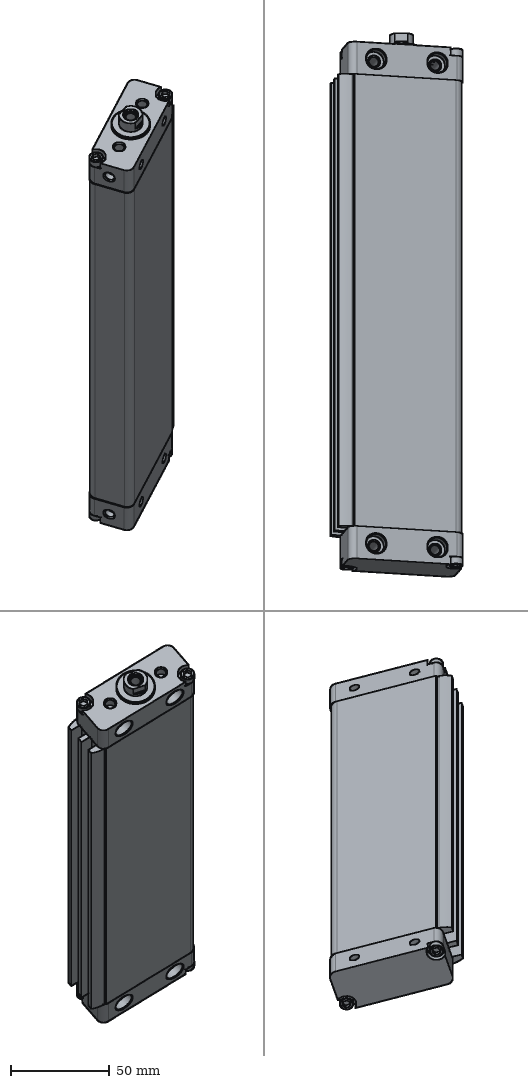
import cadquery as cq

TOTAL_LENGTH = 280.0
WIDTH = 24.0
CAP_DEPTH = 60.0
CAP_HEIGHT = 17.0
CORNER_RADIUS = 4.0
CAP_TOP = 272.2
BARREL_LENGTH = CAP_TOP - 2 * CAP_HEIGHT

BARREL_FRONT = -29.5
BARREL_BACK = 28.5
BARREL_SHOULDER = 27.7
SHOULDER_CHAMFER = 0.5
RAIL_TIP = 35.0
MIDDLE_RAIL_WIDTH = 2.8
RAIL_INNER_X = 7.3
RAIL_TIP_X = 9.8
RAIL_FOOT_X = 11.5
RAIL_BULGE_X = 11.0
RAIL_BULGE_Y = 32.0

HOLE_SPACING = 32.0
THREAD_CORE = 5.0
THREAD_MOUTH = 6.5
END_HOLE_DEPTH = 5.5
PORT_THREAD_DEPTH = 4.2
PORT_BORE = 2.2
PORT_BORE_DEPTH = 8.5
MOUNT_COUNTERBORE = 10.0
MOUNT_COUNTERBORE_DEPTH = 5.0
MOUNT_MOUTH = 11.0

SCREW_HEAD = 7.0
SCREW_INSET = SCREW_HEAD / 2
SCREW_X = WIDTH / 2 - SCREW_INSET
SCREW_Y = CAP_DEPTH / 2 - SCREW_INSET
SCREW_POCKET = 10.0
SCREW_POCKET_DEPTH = 4.2
SCREW_HEAD_HEIGHT = 4.0
SCREW_HEAD_CHAMFER = 0.3
SCREW_SOCKET = 4.0
SCREW_SOCKET_DEPTH = 2.2

COLLAR_DIAMETER = 20.0
COLLAR_HEIGHT = 1.5
COLLAR_CHAMFER = 0.42
ROD_DIAMETER = 12.0
ROD_START = CAP_TOP - CAP_HEIGHT
ROD_FLAT_WIDTH = 10.0
ROD_FLAT_LENGTH = 4.5
ROD_FLAT_ANGLE = -14.0
ROD_HOLE_MOUTH = 7.8
ROD_COUNTERBORE = 6.5
ROD_COUNTERBORE_DEPTH = 1.7
ROD_HOLE_DEPTH = 11.2
DRILL_TIP_DEPTH = 1.5


def cylinder(diameter, height, x, y, z):
    """Upright cylinder whose lower face is centred on (x, y, z)."""
    return cq.Workplane("XY", origin=(x, y, z)).circle(diameter / 2).extrude(height)


def countersunk_hole(core, mouth, depth, start, inward):
    """Tool for a hole with a 45 degree mouth, from the point start along the direction inward."""
    point = cq.Vector(*start)
    direction = cq.Vector(*inward)
    bore = cq.Solid.makeCylinder(core / 2, depth, point, direction)
    cone = cq.Solid.makeCone(mouth / 2, core / 2, (mouth - core) / 2, point, direction)
    return bore.fuse(cone)


def make_barrel():
    body = (
        cq.Workplane("XY", origin=(0, 0, CAP_HEIGHT))
        .moveTo(-WIDTH / 2, BARREL_FRONT)
        .lineTo(WIDTH / 2, BARREL_FRONT)
        .lineTo(WIDTH / 2, BARREL_SHOULDER - SHOULDER_CHAMFER)
        .lineTo(RAIL_FOOT_X, BARREL_SHOULDER)
        .lineTo(RAIL_FOOT_X, BARREL_BACK)
        .lineTo(-RAIL_FOOT_X, BARREL_BACK)
        .lineTo(-RAIL_FOOT_X, BARREL_SHOULDER)
        .lineTo(-WIDTH / 2, BARREL_SHOULDER - SHOULDER_CHAMFER)
        .close()
        .extrude(BARREL_LENGTH)
        .edges("|Z and <Y")
        .fillet(CORNER_RADIUS)
    )
    middle_rail = (
        cq.Workplane("XY", origin=(0, (BARREL_BACK + RAIL_TIP) / 2, CAP_HEIGHT))
        .rect(MIDDLE_RAIL_WIDTH, RAIL_TIP - BARREL_BACK)
        .extrude(BARREL_LENGTH)
    )
    body = body.union(middle_rail)
    for side in (-1, 1):
        outer_rail = (
            cq.Workplane("XY", origin=(0, 0, CAP_HEIGHT))
            .moveTo(side * RAIL_FOOT_X, BARREL_BACK)
            .threePointArc((side * RAIL_BULGE_X, RAIL_BULGE_Y), (side * RAIL_TIP_X, RAIL_TIP))
            .lineTo(side * RAIL_INNER_X, RAIL_TIP)
            .lineTo(side * RAIL_INNER_X, BARREL_BACK)
            .close()
            .extrude(BARREL_LENGTH)
        )
        body = body.union(outer_rail)
    return body


def cut_mounting_holes(cap):
    """Two stepped holes through the width of a cap, counterbored on the -X side."""
    for y in (-HOLE_SPACING / 2, HOLE_SPACING / 2):
        face = (-WIDTH / 2, y, CAP_HEIGHT / 2)
        floor = (MOUNT_COUNTERBORE_DEPTH - WIDTH / 2, y, CAP_HEIGHT / 2)
        cap = cap.cut(cq.Workplane(countersunk_hole(
            MOUNT_COUNTERBORE, MOUNT_MOUTH, MOUNT_COUNTERBORE_DEPTH, face, (1, 0, 0))))
        cap = cap.cut(cq.Workplane(countersunk_hole(THREAD_CORE, THREAD_MOUTH, WIDTH, floor, (1, 0, 0))))
    return cap


def cut_port(cap):
    """Threaded air port in the -Y side of a cap, with a narrower bore behind it."""
    start = (0, -CAP_DEPTH / 2, CAP_HEIGHT / 2)
    thread = countersunk_hole(THREAD_CORE, THREAD_MOUTH, PORT_THREAD_DEPTH, start, (0, 1, 0))
    bore = cq.Solid.makeCylinder(PORT_BORE / 2, PORT_BORE_DEPTH, cq.Vector(*start), cq.Vector(0, 1, 0))
    return cap.cut(cq.Workplane(thread)).cut(cq.Workplane(bore))


def add_screws(cap):
    """Socket screw heads in open corner pockets, at two opposite corners."""
    pocket_floor = CAP_HEIGHT - SCREW_POCKET_DEPTH
    socket_floor = pocket_floor + SCREW_HEAD_HEIGHT - SCREW_SOCKET_DEPTH
    for side in (-1, 1):
        x = side * SCREW_X
        y = side * SCREW_Y
        pocket = cylinder(SCREW_POCKET, SCREW_POCKET_DEPTH, x, y, pocket_floor)
        head = cylinder(SCREW_HEAD, SCREW_HEAD_HEIGHT, x, y, pocket_floor)
        head = head.faces(">Z").edges().chamfer(SCREW_HEAD_CHAMFER)
        socket = (
            cq.Workplane("XY", origin=(x, y, socket_floor))
            .polygon(6, SCREW_SOCKET, circumscribed=True)
            .extrude(SCREW_SOCKET_DEPTH)
        )
        cap = cap.cut(pocket).union(head).cut(socket)
    return cap


def make_cap():
    """Cap with its outer face up, from z = 0 to CAP_HEIGHT."""
    cap = (
        cq.Workplane("XY")
        .rect(WIDTH, CAP_DEPTH)
        .extrude(CAP_HEIGHT)
        .edges("|Z")
        .fillet(CORNER_RADIUS)
    )
    return add_screws(cut_port(cut_mounting_holes(cap)))


def make_lower_cap():
    return make_cap().mirror("XY").translate((0, 0, CAP_HEIGHT))


def make_upper_cap():
    """Cap with two threaded end holes and a bearing collar that the rod passes through."""
    cap = make_cap().translate((0, 0, ROD_START))
    for y in (-HOLE_SPACING / 2, HOLE_SPACING / 2):
        hole = countersunk_hole(THREAD_CORE, THREAD_MOUTH, END_HOLE_DEPTH, (0, y, CAP_TOP), (0, 0, -1))
        cap = cap.cut(cq.Workplane(hole))
    collar = cylinder(COLLAR_DIAMETER, COLLAR_HEIGHT, 0, 0, CAP_TOP)
    cap = cap.union(collar.faces(">Z").edges().chamfer(COLLAR_CHAMFER))
    return cap.cut(cylinder(ROD_DIAMETER, TOTAL_LENGTH, 0, 0, 0))


def make_rod():
    rod = cylinder(ROD_DIAMETER, TOTAL_LENGTH - ROD_START, 0, 0, ROD_START)
    outside_flats = (
        cq.Workplane("XY", origin=(0, 0, TOTAL_LENGTH - ROD_FLAT_LENGTH))
        .rect(2 * ROD_DIAMETER, 2 * ROD_DIAMETER)
        .rect(ROD_FLAT_WIDTH, 2 * ROD_DIAMETER)
        .extrude(ROD_FLAT_LENGTH)
        .rotate((0, 0, 0), (0, 0, 1), ROD_FLAT_ANGLE)
    )
    hole_radius = THREAD_CORE / 2
    step = TOTAL_LENGTH - ROD_COUNTERBORE_DEPTH
    mouth = (ROD_HOLE_MOUTH - ROD_COUNTERBORE) / 2
    hole_floor = TOTAL_LENGTH - ROD_HOLE_DEPTH
    hole = (
        cq.Workplane("XZ")
        .moveTo(0, hole_floor - DRILL_TIP_DEPTH)
        .lineTo(hole_radius, hole_floor)
        .lineTo(hole_radius, step)
        .lineTo(ROD_COUNTERBORE / 2, step)
        .lineTo(ROD_COUNTERBORE / 2, TOTAL_LENGTH - mouth)
        .lineTo(ROD_HOLE_MOUTH / 2, TOTAL_LENGTH)
        .lineTo(0, TOTAL_LENGTH)
        .close()
        .revolve(360, (0, 0, 0), (0, 1, 0))
    )
    return rod.cut(outside_flats).cut(hole)


barrel = make_barrel()
lower_cap = make_lower_cap()
upper_cap = make_upper_cap()
rod = make_rod()
result = cq.Compound.makeCompound([barrel.val(), lower_cap.val(), upper_cap.val(), rod.val()])